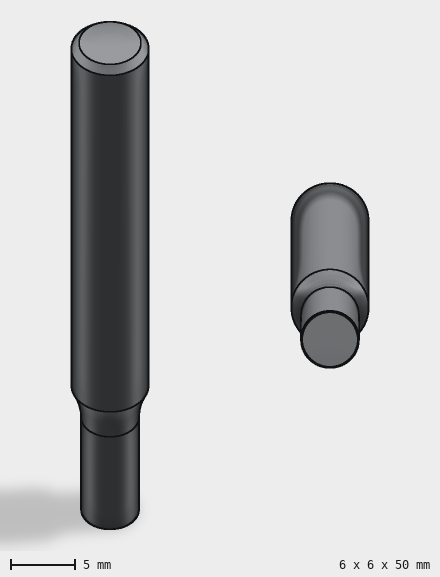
import cadquery as cq

total_length = 50.0
shank_diameter = 6.0
cutter_diameter = 4.5
cutter_length = 10.0
neck_arc_radius = 8.0
end_chamfer = 0.6
cutter_chamfer = 0.1

shank_radius = shank_diameter / 2
cutter_radius = cutter_diameter / 2

neck_flare = shank_radius - cutter_radius


def neck_height_at(flare):
    """Height above the cutter where the neck arc has flared out by the given amount."""
    return (neck_arc_radius**2 - (neck_arc_radius - flare) ** 2) ** 0.5


neck_top = cutter_length + neck_height_at(neck_flare)
arc_mid_flare = neck_flare / 2
arc_mid_point = (cutter_radius + arc_mid_flare, cutter_length + neck_height_at(arc_mid_flare))


def make_shank():
    """Turned shank with a concave neck below and a chamfered top end."""
    return (
        cq.Workplane("XZ")
        .moveTo(0, cutter_length)
        .lineTo(cutter_radius, cutter_length)
        .threePointArc(arc_mid_point, (shank_radius, neck_top))
        .lineTo(shank_radius, total_length - end_chamfer)
        .lineTo(shank_radius - end_chamfer, total_length)
        .lineTo(0, total_length)
        .close()
        .revolve(360, (0, 0, 0), (0, 1, 0))
    )


def make_cutter():
    """Cylindrical cutting head with a fine chamfer on its free end, butting against the neck."""
    cylinder = cq.Workplane("XY").circle(cutter_radius).extrude(cutter_length)
    return cylinder.faces("<Z").chamfer(cutter_chamfer)


shank = make_shank()
cutter = make_cutter()

result = cq.Compound.makeCompound([shank.val(), cutter.val()])